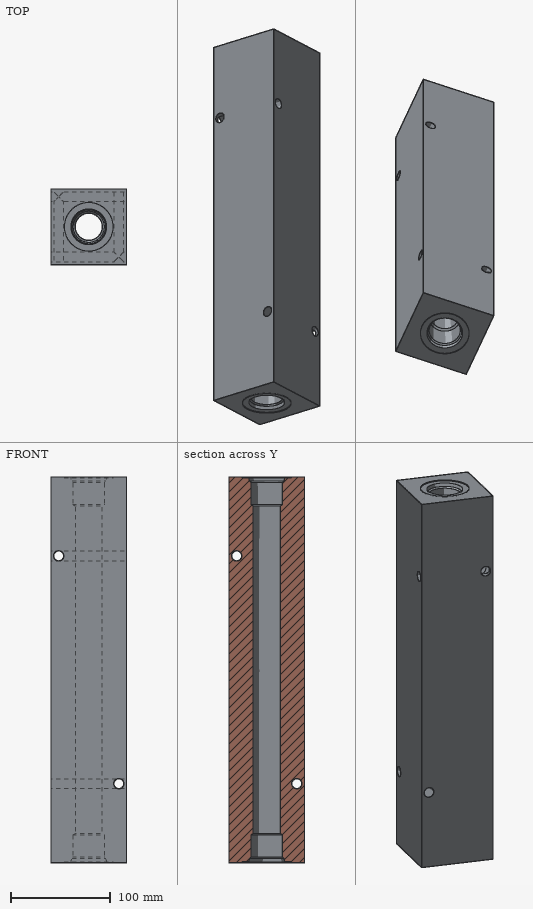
import cadquery as cq
import math

width = 76.2
length = 387.35
edge_chamfer = 0.25

bore_diameter = 27.0
spotface_diameter = 48.8
spotface_depth = 1.0
seat_mouth_diameter = 35.9
seat_depth = 3.3
seat_half_angle = 15.0
thread_diameter = 31.3
thread_depth = 27.0
drill_point_half_angle = 59.0

hole_diameter = 9.9
hole_offset = 30.16
hole_pitch = 228.6
hole_heights = ((length + hole_pitch) / 2, (length - hole_pitch) / 2)


def make_block():
    """Square prism with every outer edge lightly broken."""
    block = cq.Workplane("XY").box(width, width, length, centered=(True, True, False))
    return block.edges().chamfer(edge_chamfer)


def make_port_cutter():
    """Upper half of the stepped bore, revolved about Z, from the top face to mid-length."""
    bore_radius = bore_diameter / 2
    thread_radius = thread_diameter / 2
    seat_mouth_radius = seat_mouth_diameter / 2
    spotface_radius = spotface_diameter / 2
    seat_foot_radius = seat_mouth_radius - seat_depth * math.tan(math.radians(seat_half_angle))

    spotface_floor = length - spotface_depth
    seat_foot = spotface_floor - seat_depth
    thread_start = seat_foot - (seat_foot_radius - thread_radius)
    thread_end = spotface_floor - thread_depth
    drill_point_height = (thread_radius - bore_radius) / math.tan(math.radians(drill_point_half_angle))
    bore_start = thread_end - drill_point_height

    profile = (
        cq.Workplane("YZ")
        .moveTo(0, length)
        .lineTo(spotface_radius, length)
        .lineTo(spotface_radius, spotface_floor)
        .lineTo(seat_mouth_radius, spotface_floor)
        .lineTo(seat_foot_radius, seat_foot)
        .lineTo(thread_radius, thread_start)
        .lineTo(thread_radius, thread_end)
        .lineTo(bore_radius, bore_start)
        .lineTo(bore_radius, length / 2)
        .lineTo(0, length / 2)
        .close()
    )
    return profile.revolve(360, (0, 0, 0), (0, 1, 0))


def make_hole_cutter():
    """Through hole along Z, centred on the origin, chamfered at both mouths."""
    hole_radius = hole_diameter / 2
    mouth_radius = hole_radius + edge_chamfer
    chamfer_start = width / 2 - edge_chamfer
    profile = (
        cq.Workplane("XZ")
        .moveTo(0, -width / 2)
        .lineTo(mouth_radius, -width / 2)
        .lineTo(hole_radius, -chamfer_start)
        .lineTo(hole_radius, chamfer_start)
        .lineTo(mouth_radius, width / 2)
        .lineTo(0, width / 2)
        .close()
    )
    return profile.revolve(360, (0, 0, 0), (0, 1, 0)).val()


def make_mounting_holes(plane, across_positions):
    """Through holes normal to the given plane, one at each hole height."""
    hole_cutter = make_hole_cutter()
    points = list(zip(across_positions, hole_heights))
    return cq.Workplane(plane).pushPoints(points).eachpoint(lambda place: hole_cutter.moved(place), True)


top_port = make_port_cutter()
bottom_port = top_port.mirror("XY", (0, 0, length / 2))

result = (
    make_block()
    .cut(top_port)
    .cut(bottom_port)
    .cut(make_mounting_holes("XZ", (-hole_offset, hole_offset)))
    .cut(make_mounting_holes("YZ", (hole_offset, -hole_offset)))
)